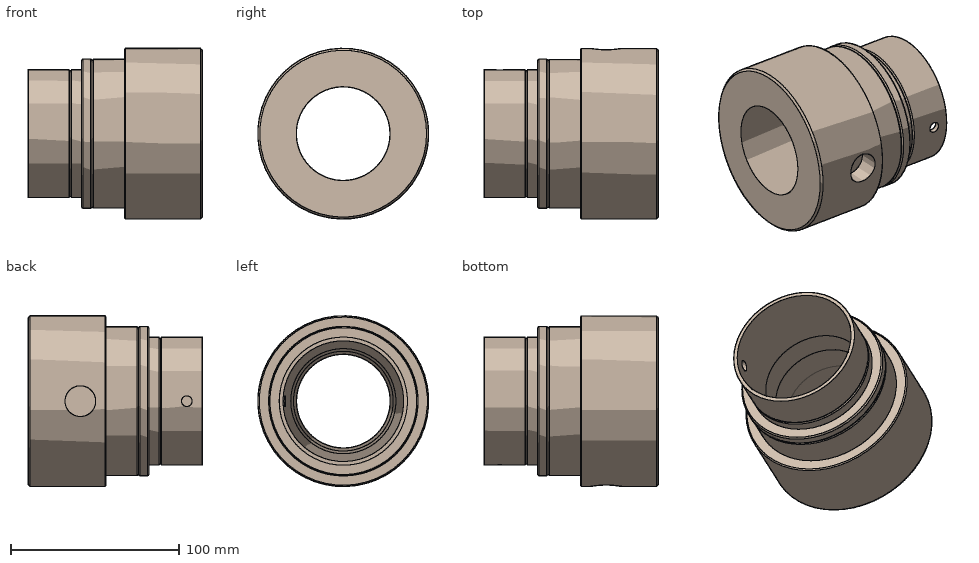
import cadquery as cq

total_length = 103.7
groove_x = 25.1
collar_step = 31.7
neck_joint = 38.0
spigot_start = 51.3
shoulder = 57.3

nozzle_dia = 76.2
collar_dia = 89.0
neck_dia = 88.5
body_dia = 101.6
spigot_dia = 72.6

inlet_dia = 71.7
neck_joint_bore_dia = 62.5
throat_dia = 55.6
taper_slope = (inlet_dia - neck_joint_bore_dia) / 2 / neck_joint
throat_start = (inlet_dia - throat_dia) / 2 / taper_slope

seam_chamfer = 0.8
shoulder_chamfer_length = 0.5
shoulder_chamfer_depth = 0.8
end_chamfer = 1.2

nozzle_hole_dia = 6.3
nozzle_hole_x = 9.3
port_dia = 18.2
port_x = 72.6
port_depth = 12.4


def revolve_profile(points):
    """Revolve a closed (x, radius) profile about the X axis."""
    return cq.Workplane("XY").polyline(points).close().revolve(360, (0, 0, 0), (1, 0, 0))


def side_hole(dia, x, floor_y):
    """Radial cutter from the floor out through the +Y side."""
    return cq.Workplane("XZ", origin=(x, floor_y, 0)).circle(dia / 2).extrude(-body_dia)


def taper_radius(x):
    """Radius of the tapered bore at station x."""
    return inlet_dia / 2 - taper_slope * x


def make_nozzle():
    nozzle_r = nozzle_dia / 2
    collar_r = collar_dia / 2
    nozzle = revolve_profile([
        (0, taper_radius(0)),
        (0, nozzle_r),
        (groove_x - seam_chamfer, nozzle_r),
        (groove_x, nozzle_r - seam_chamfer),
        (groove_x + seam_chamfer, nozzle_r),
        (collar_step, nozzle_r),
        (collar_step, collar_r - seam_chamfer),
        (collar_step + seam_chamfer, collar_r),
        (neck_joint - seam_chamfer, collar_r),
        (neck_joint, collar_r - seam_chamfer),
        (neck_joint, taper_radius(neck_joint)),
    ])
    return nozzle.cut(side_hole(nozzle_hole_dia, nozzle_hole_x, 0))


def make_neck():
    neck_r = neck_dia / 2
    spigot_r = spigot_dia / 2
    return revolve_profile([
        (neck_joint, taper_radius(neck_joint)),
        (neck_joint, neck_r - seam_chamfer),
        (neck_joint + seam_chamfer, neck_r),
        (shoulder, neck_r),
        (shoulder, spigot_r),
        (spigot_start, spigot_r),
        (spigot_start, taper_radius(spigot_start)),
    ])


def make_main_body():
    body_r = body_dia / 2
    spigot_r = spigot_dia / 2
    throat_r = throat_dia / 2
    main_body = revolve_profile([
        (spigot_start, taper_radius(spigot_start)),
        (spigot_start, spigot_r),
        (shoulder, spigot_r),
        (shoulder, body_r - shoulder_chamfer_depth),
        (shoulder + shoulder_chamfer_length, body_r),
        (total_length - end_chamfer, body_r),
        (total_length, body_r - end_chamfer),
        (total_length, throat_r),
        (throat_start, throat_r),
    ])
    return main_body.cut(side_hole(port_dia, port_x, body_r - port_depth))


nozzle = make_nozzle()
neck = make_neck()
main_body = make_main_body()

result = cq.Compound.makeCompound([nozzle.val(), neck.val(), main_body.val()])